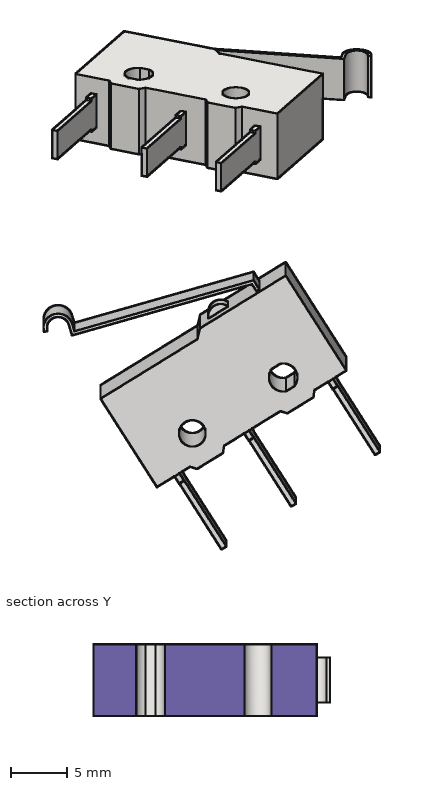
import cadquery as cq
import math


overall_length = 26.1

housing_length = 19.85
housing_thickness = 6.4
housing_height = 10.15
step_drop = 0.7
step_start = 8.98
foot_depth = 0.5
foot_slope = 0.42
foot_length = 3.58
foot_starts = [3.35, 12.82]

hole_diameter = 2.38
hole_y = 2.45
round_hole_x = 14.62
flatted_hole_x = 5.1
flatted_hole_diameter = 2.53

plunger_x = 7.07
plunger_radius = 1.12
plunger_projection = 0.7
plunger_width = 2.1

terminal_positions = [1.83, 10.62, 17.93]
terminal_thickness = 0.52
shoulder_length = 1.05
shoulder_width = 3.24
blade_width = 2.77

strip_thickness = 0.31
strip_width = 4.02
lever_x = 2.77
post_height = 0.97
lever_angle = math.radians(15.9)
arm_length = 16.89
hook_inner_radius = 1.0
hook_leg_length = 1.0
hook_outer_radius = hook_inner_radius + strip_thickness

hook_along = arm_length + hook_inner_radius
hook_above = hook_leg_length - strip_thickness


def arm_point(along, above):
    """XY point given along the arm's upper face and square to it, from the post's outer corner."""
    return (
        lever_x + along * math.cos(lever_angle) - above * math.sin(lever_angle),
        housing_height + post_height + along * math.sin(lever_angle) + above * math.cos(lever_angle),
    )


hook_centre_y = arm_point(hook_along, hook_above)[1]
terminal_length = overall_length - (hook_centre_y + hook_outer_radius)


def extrude_centred(outline, width):
    """Extrude a closed XY outline equally to both sides of Z = 0."""
    return outline.extrude(width / 2, both=True)


def make_housing_block():
    outline = cq.Workplane("XY").moveTo(0, 0)
    for start in foot_starts:
        end = start + foot_length
        outline = (
            outline.lineTo(start, 0)
            .lineTo(start + foot_slope, -foot_depth)
            .lineTo(end - foot_slope, -foot_depth)
            .lineTo(end, 0)
        )
    outline = (
        outline.lineTo(housing_length, 0)
        .lineTo(housing_length, housing_height - step_drop)
        .lineTo(step_start + step_drop, housing_height - step_drop)
        .lineTo(step_start, housing_height)
        .lineTo(0, housing_height)
        .close()
    )
    return extrude_centred(outline, housing_thickness)


def make_mounting_holes():
    round_hole = cq.Workplane("XY").center(round_hole_x, hole_y).circle(hole_diameter / 2)
    circle = cq.Workplane("XY").center(flatted_hole_x, hole_y).circle(flatted_hole_diameter / 2)
    band = cq.Workplane("XY").center(flatted_hole_x, hole_y).rect(flatted_hole_diameter, hole_diameter)
    flatted_hole = extrude_centred(circle, housing_thickness).intersect(
        extrude_centred(band, housing_thickness)
    )
    return extrude_centred(round_hole, housing_thickness).union(flatted_hole)


def make_plunger():
    centre_y = housing_height + plunger_projection - plunger_radius
    disc = cq.Workplane("XY").center(plunger_x, centre_y).circle(plunger_radius)
    return extrude_centred(disc, plunger_width)


def make_terminal(x):
    shoulder = cq.Workplane("XY").box(
        terminal_thickness, shoulder_length, shoulder_width, centered=(True, False, True)
    )
    blade = cq.Workplane("XY").box(
        terminal_thickness, terminal_length, blade_width, centered=(True, False, True)
    )
    return (
        shoulder.translate((x, -shoulder_length, 0))
        .union(blade.translate((x, -terminal_length, 0)))
    )


def make_housing():
    body = make_housing_block().cut(make_mounting_holes()).union(make_plunger())
    for x in terminal_positions:
        body = body.union(make_terminal(x))
    return body


def make_lever():
    post_inner_x = lever_x + strip_thickness
    bend_drop = strip_thickness / math.cos(lever_angle) - strip_thickness * math.tan(lever_angle)
    outline = (
        cq.Workplane("XY").moveTo(lever_x, housing_height)
        .lineTo(*arm_point(0, 0))
        .lineTo(*arm_point(arm_length - strip_thickness, 0))
        .lineTo(*arm_point(hook_along - hook_outer_radius, hook_above))
        .threePointArc(
            arm_point(hook_along, hook_above + hook_outer_radius),
            arm_point(hook_along + hook_outer_radius, hook_above),
        )
        .lineTo(*arm_point(hook_along + hook_inner_radius, hook_above))
        .threePointArc(
            arm_point(hook_along, hook_above + hook_inner_radius),
            arm_point(hook_along - hook_inner_radius, hook_above),
        )
        .lineTo(*arm_point(arm_length, -strip_thickness))
        .lineTo(post_inner_x, housing_height + post_height - bend_drop)
        .lineTo(post_inner_x, housing_height)
        .close()
    )
    return extrude_centred(outline, strip_width)


housing = make_housing()
lever = make_lever()

result = cq.Compound.makeCompound([housing.val(), lever.val()])